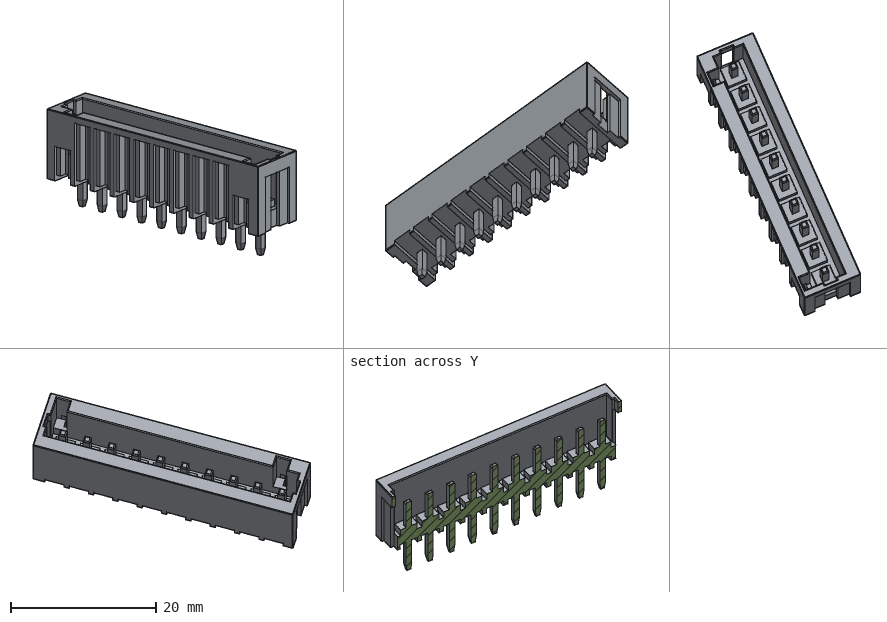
import cadquery as cq


length = 37.4
width = 8.5
height = 10.3
edge_chamfer = 0.1
front_y = -width / 2

pin_count = 10
pin_span = 31.5
pitch = pin_span / (pin_count - 1)
row_x = -0.15
row_y = 0.1
pin_xs = [row_x - pin_span / 2 + i * pitch for i in range(pin_count)]
cell = 2.75

pin_size = 0.97
pin_tip_size = 0.6
pin_top = 8.08
top_tip_height = 0.22
pin_bottom = -4.53
bottom_tip_height = 1.0

cavity_floor = 2.5
end_wall = 1.05
cavity_front_y = -2.1
cavity_back_y = 2.3
mouth_chamfer = 0.15
seat_top = 3.5

key_width = 1.95
left_key_x = -15.9
key_xs = (left_key_x, length / 2 - end_wall - key_width)
key_floor = 4.25
key_wall = 0.52

window_width = 1.9
window_top = 8.25
end_groove_width = 5.3
end_groove_depth = 0.4
window_depth = 0.95
end_notch_wall = 0.65
end_notch_width = 1.85

slot_step_depth = 0.4
slot_depth = 1.57
slot_inner_width = 1.42
tall_slot_top = 9.28
short_slot_top = 5.1
channel_height = 0.8


def block(x0, x1, y0, y1, z0, z1):
    """Box between two opposite corners."""
    return cq.Workplane("XY").box(x1 - x0, y1 - y0, z1 - z0, centered=False).translate((x0, y0, z0))


def mouth(x0, x1, y0, y1, z0):
    """Pocket from z0 up through the rim, widened there by the mouth chamfer."""
    rim = (
        cq.Workplane("XY", origin=((x0 + x1) / 2, (y0 + y1) / 2, height - mouth_chamfer))
        .rect(x1 - x0, y1 - y0)
        .workplane(offset=mouth_chamfer)
        .rect(x1 - x0 + 2 * mouth_chamfer, y1 - y0 + 2 * mouth_chamfer)
        .loft()
    )
    return block(x0, x1, y0, y1, z0, height).union(rim)


def cavity():
    """Main cavity with its end notches and key notches."""
    half = length / 2
    pocket = mouth(end_wall - half, half - end_wall, cavity_front_y, cavity_back_y, cavity_floor)
    notch_x = half - end_notch_wall
    notch_y = end_notch_width / 2
    pocket = pocket.union(mouth(-notch_x, notch_x, -notch_y, notch_y, cavity_floor))
    for x in key_xs:
        pocket = pocket.union(mouth(x, x + key_width, front_y + key_wall, cavity_back_y, key_floor))
    return pocket


def end_window(side):
    """Stepped groove in one end face; side is -1 or +1."""
    cut = cq.Workplane("XY")
    for groove_width, depth in ((end_groove_width, end_groove_depth), (window_width, window_depth)):
        x0, x1 = sorted((side * length / 2, side * (length / 2 - depth)))
        cut = cut.add(block(x0, x1, -groove_width / 2, groove_width / 2, 0, window_top))
    return cut.combine()


def front_slot(x, top):
    """Stepped slot in the front face, with the channel across the underside below it."""
    outer = block(x - cell / 2, x + cell / 2, front_y, front_y + slot_step_depth, 0, top)
    inner = block(
        x - slot_inner_width / 2, x + slot_inner_width / 2, front_y, front_y + slot_depth, 0, top
    )
    channel = block(x - cell / 2, x + cell / 2, front_y, -front_y, 0, channel_height)
    return outer.union(inner).union(channel)


def seat(x):
    """Raised square block around one pin on the cavity floor."""
    return block(
        x - cell / 2, x + cell / 2, row_y - cell / 2, row_y + cell / 2, cavity_floor, seat_top
    )


def tapered_tip(x, z, tip_height):
    """Pin end narrowing from height z; a negative tip_height points it down."""
    return (
        cq.Workplane("XY", origin=(x, row_y, z))
        .rect(pin_size, pin_size)
        .workplane(offset=tip_height)
        .rect(pin_tip_size, pin_tip_size)
        .loft()
    )


def pin(x):
    """Square pin with tapered ends."""
    shaft_top = pin_top - top_tip_height
    shaft_bottom = pin_bottom + bottom_tip_height
    half = pin_size / 2
    shaft = block(x - half, x + half, row_y - half, row_y + half, shaft_bottom, shaft_top)
    top_tip = tapered_tip(x, shaft_top, top_tip_height)
    bottom_tip = tapered_tip(x, shaft_bottom, -bottom_tip_height)
    return shaft.union(top_tip).union(bottom_tip)


body = cq.Workplane("XY").box(length, width, height, centered=(True, True, False))
body = body.edges().chamfer(edge_chamfer)
body = body.cut(cavity())
for side in (-1, 1):
    body = body.cut(end_window(side))

for x in pin_xs:
    at_row_end = x in (pin_xs[0], pin_xs[-1])
    body = body.cut(front_slot(x, short_slot_top if at_row_end else tall_slot_top))
    body = body.union(seat(x)).union(pin(x))

result = body